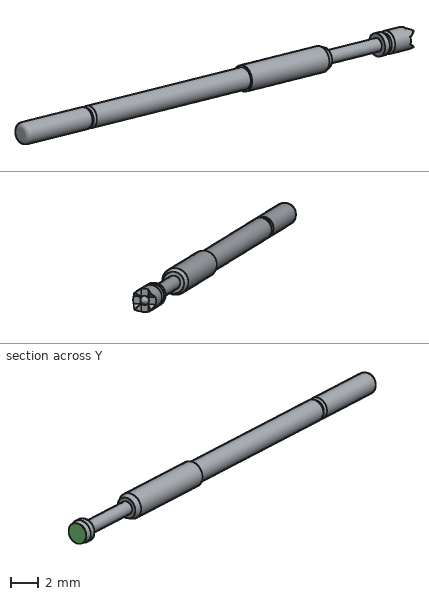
import cadquery as cq

total_length = 38.3
tip_y = total_length / 2

head_radius = 0.9
head_length = 3.05
head_groove_start = 2.05
head_groove_bottom = 2.25
head_groove_end = 2.6
head_groove_depth = 0.15

rod_radius = 0.517

collar_radius = 1.0
collar_start = 8.25
collar_end = 16.3
collar_chamfer_length = 0.45
collar_chamfer_depth = 0.2
barrel_radius = 0.85
crimp_start = 31.52
crimp_width = 0.45
crimp_depth = 0.1
tail_round_radius = 0.4

crown_depth = 0.5
crown_floor_y = tip_y - crown_depth
slot_half_width = 0.6
slot_floor_half_width = 0.25
point_base_radius = 0.35


def body_of_revolution():
    """Turned body; every station is a distance from the head tip."""
    def at(radius, distance):
        return (radius, tip_y - distance)

    outline = (
        cq.Workplane("XY")
        .moveTo(*at(0, 0))
        .lineTo(*at(head_radius, 0))
        .lineTo(*at(head_radius, head_groove_start))
        .lineTo(*at(head_radius - head_groove_depth, head_groove_bottom))
        .lineTo(*at(head_radius, head_groove_end))
        .lineTo(*at(head_radius, head_length))
        .lineTo(*at(rod_radius, head_length))
        .lineTo(*at(rod_radius, collar_start))
        .lineTo(*at(collar_radius - collar_chamfer_depth, collar_start))
        .lineTo(*at(collar_radius, collar_start + collar_chamfer_length))
        .lineTo(*at(collar_radius, collar_end))
        .lineTo(*at(barrel_radius, collar_end))
        .lineTo(*at(barrel_radius, crimp_start))
        .lineTo(*at(barrel_radius - crimp_depth, crimp_start + crimp_width / 2))
        .lineTo(*at(barrel_radius, crimp_start + crimp_width))
        .lineTo(*at(barrel_radius, total_length))
        .lineTo(*at(0, total_length))
        .close()
    )
    body = outline.revolve(360, (0, 0, 0), (0, 1, 0))
    return body.faces("<Y").edges().fillet(tail_round_radius)


def crown_slot():
    """Slot along Z across the head tip, with sloped walls and a flat floor."""
    return (
        cq.Workplane("XY")
        .moveTo(-slot_half_width, tip_y)
        .lineTo(-slot_floor_half_width, crown_floor_y)
        .lineTo(slot_floor_half_width, crown_floor_y)
        .lineTo(slot_half_width, tip_y)
        .close()
        .extrude(2 * head_radius, both=True)
    )


def center_point():
    """Cone that stands on the slot floor and reaches the head tip."""
    return (
        cq.Workplane("XY")
        .moveTo(0, tip_y)
        .lineTo(point_base_radius, crown_floor_y)
        .lineTo(0, crown_floor_y)
        .close()
        .revolve(360, (0, 0, 0), (0, 1, 0))
    )


slot = crown_slot()
cross_slot = slot.rotate((0, 0, 0), (0, 1, 0), 90)
crown_cut = slot.union(cross_slot).cut(center_point())
result = body_of_revolution().cut(crown_cut)